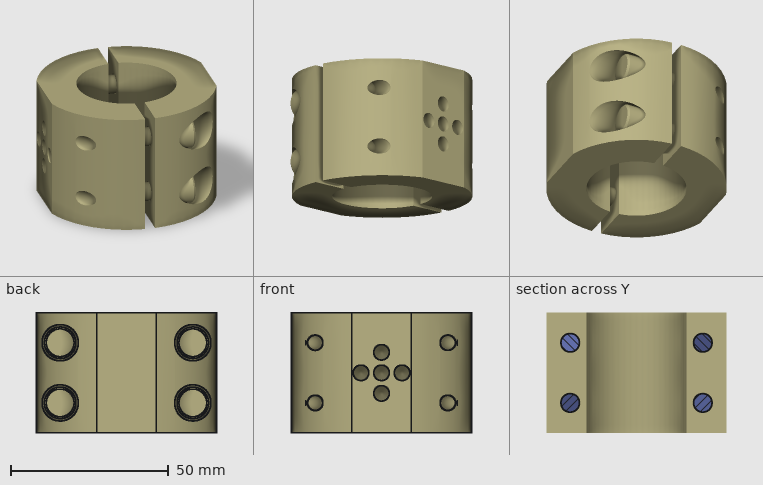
import cadquery as cq
import math

outer_diameter = 57.15
bore_diameter = 31.75
height = 38.1
width_over_flats = 54.0
gap = 3.25

screw_x = 21.0
screw_z = 19.05 / 2
shank_diameter = 6.0
shank_end_y = -15.0
tip_diameter = 4.76
tip_length = 0.25
head_diameter = 10.0
head_chamfer = 0.6
head_top_y = 15.75
head_seat_y = 8.0

counterbore_diameter = 11.5
clearance_diameter = 6.5
tapped_diameter = 4.92

drill_depth = 9.0
drill_pitch = 6.5
drill_point_angle = 118.0

screw_centers = [(x, z) for x in (-screw_x, screw_x) for z in (-screw_z, screw_z)]
drill_centers = [
    (0, 0),
    (-drill_pitch, 0),
    (drill_pitch, 0),
    (0, -drill_pitch),
    (0, drill_pitch),
]


def cylinders_along_y(centers, diameter, start_y, end_y):
    """Cylinders along Y at the given (x, z) centres, from start_y up to end_y."""
    return (
        cq.Workplane("XZ", origin=(0, start_y, 0))
        .pushPoints(centers)
        .circle(diameter / 2)
        .extrude(start_y - end_y)
    )


def drill_cutter(x, z):
    """Drill with a conical point, entering the front flat towards +Y."""
    radius = tapped_diameter / 2
    point_length = radius / math.tan(math.radians(drill_point_angle / 2))
    full_depth = drill_depth + point_length
    return (
        cq.Workplane("XY", origin=(x, -width_over_flats / 2, z))
        .polyline([(0, 0), (radius, 0), (radius, drill_depth), (0, full_depth)])
        .close()
        .revolve(360, (0, 0, 0), (0, 1, 0))
    )


def make_half(side):
    """Half ring with its outer flat and no holes, on the +Y side (side = 1) or the -Y side (side = -1)."""
    ring = (
        cq.Workplane("XY", origin=(0, 0, -height / 2))
        .circle(outer_diameter / 2)
        .circle(bore_diameter / 2)
        .extrude(height)
    )
    depth = (width_over_flats - gap) / 2
    middle_y = side * (width_over_flats + gap) / 4
    envelope = cq.Workplane("XY").box(outer_diameter, depth, height).translate((0, middle_y, 0))
    return ring.intersect(envelope)


def make_rear_half():
    """Half on the +Y side, with counterbored clearance holes for the screws."""
    counterbores = cylinders_along_y(
        screw_centers, counterbore_diameter, head_seat_y, outer_diameter / 2
    )
    clearance_holes = cylinders_along_y(screw_centers, clearance_diameter, 0, head_seat_y)
    return make_half(1).cut(counterbores).cut(clearance_holes)


def make_front_half():
    """Half on the -Y side, with stepped screw holes and the cross of drilled holes."""
    shank_holes = cylinders_along_y(screw_centers, shank_diameter, shank_end_y, 0)
    outlets = cylinders_along_y(screw_centers, tapped_diameter, -outer_diameter / 2, shank_end_y)
    half = make_half(-1).cut(shank_holes).cut(outlets)
    for x, z in drill_centers:
        half = half.cut(drill_cutter(x, z))
    return half


def make_screw(x, z):
    """Screw with a chamfered cylindrical head on the +Y end and a reduced tip."""
    shank = cylinders_along_y([(x, z)], shank_diameter, shank_end_y, head_seat_y)
    tip = cylinders_along_y([(x, z)], tip_diameter, shank_end_y - tip_length, shank_end_y)
    head = cylinders_along_y([(x, z)], head_diameter, head_seat_y, head_top_y)
    return shank.union(tip).union(head.faces(">Y").chamfer(head_chamfer))


rear_half = make_rear_half()
front_half = make_front_half()
screws = [make_screw(x, z) for x, z in screw_centers]

result = cq.Compound.makeCompound(
    [rear_half.val(), front_half.val(), *[screw.val() for screw in screws]]
)